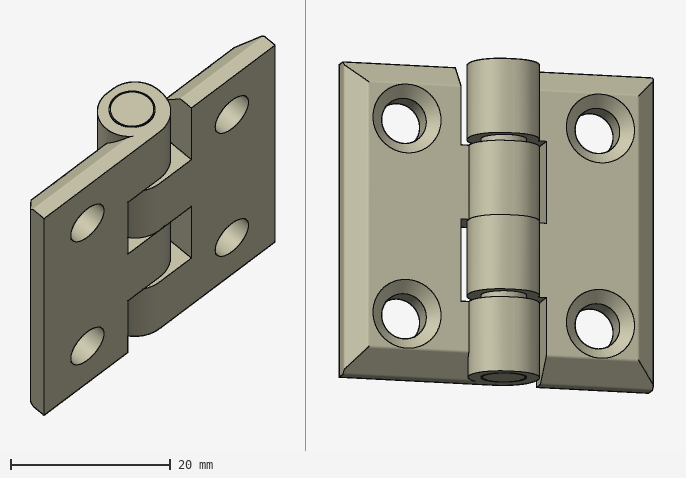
import cadquery as cq
import math

height = 40.0
width = 40.0
half_height = height / 2
half_width = width / 2

plate_thickness = 5.0
side_rim = plate_thickness / 2
end_rim = 2.0
bevel_rounding = 0.5

barrel_depth = 9.0
barrel_half = barrel_depth / 2
barrel_radius = barrel_depth - plate_thickness
knuckle_gap = 1.0
side_clearance = 1.0
knuckle_length = (half_height - knuckle_gap) / 2
notch_edge = barrel_half + side_clearance

pin_diameter = 5.75
pin_chamfer = 0.15
pin_x = -plate_thickness

hole_spacing = 25.0
hole_diameter = 5.75
countersink_diameter = 8.8
countersink_angle = 90.0


def make_plate():
    """Plate on the -Y side: one bevelled outer side crossed with two bevelled ends."""
    side_rise = plate_thickness - side_rim
    end_rise = plate_thickness - end_rim
    across = (
        cq.Workplane("XY")
        .polyline([
            (0, 0),
            (0, -half_width),
            (-side_rim, -half_width),
            (-plate_thickness, -half_width + side_rise),
            (-plate_thickness, 0),
        ])
        .close()
        .extrude(half_height, both=True)
        .edges("|Z and (not >X) and (not >Y)")
        .fillet(bevel_rounding)
    )
    along = (
        cq.Workplane("XZ")
        .polyline([
            (0, -half_height),
            (0, half_height),
            (-end_rim, half_height),
            (-plate_thickness, half_height - end_rise),
            (-plate_thickness, -half_height + end_rise),
            (-end_rim, -half_height),
        ])
        .close()
        .extrude(half_width)
        .edges("|Y and (not >X)")
        .fillet(bevel_rounding)
    )
    return across.intersect(along)


def make_knuckle(bottom):
    """One knuckle of the -Y leaf, with a larger radius at the back of its free +Y side."""
    flat_half = barrel_half - barrel_radius
    diagonal = math.sqrt(0.5)
    front_mid = barrel_radius * diagonal
    free_mid = barrel_half * diagonal
    return (
        cq.Workplane("XY", origin=(0, 0, bottom))
        .moveTo(0, 0)
        .threePointArc((-barrel_half + free_mid, free_mid), (-barrel_half, barrel_half))
        .lineTo(-plate_thickness, barrel_half)
        .threePointArc((-plate_thickness - front_mid, flat_half + front_mid), (-barrel_depth, flat_half))
        .lineTo(-barrel_depth, -flat_half)
        .threePointArc((-plate_thickness, -barrel_half), (-plate_thickness + barrel_radius, -flat_half))
        .lineTo(0, -flat_half)
        .close()
        .extrude(knuckle_length)
    )


def make_notch(bottom):
    """Clearance in the plate for a knuckle of the other leaf and the gap beside it."""
    return cq.Workplane("XY").box(
        plate_thickness, notch_edge, knuckle_length + knuckle_gap, centered=False
    ).translate((-plate_thickness, -notch_edge, bottom))


def make_screw_holes():
    """Drill and countersink shapes of the two screw holes in the -Y leaf."""
    hole_radius = hole_diameter / 2
    sink_radius = countersink_diameter / 2
    sink_depth = (sink_radius - hole_radius) / math.tan(math.radians(countersink_angle / 2))
    cutter = (
        cq.Workplane("XY")
        .polyline([
            (0, 0),
            (0, hole_radius),
            (sink_depth - plate_thickness, hole_radius),
            (-plate_thickness, sink_radius),
            (-plate_thickness, 0),
        ])
        .close()
        .revolve(360, (0, 0, 0), (1, 0, 0))
    )
    center = hole_spacing / 2
    return cutter.translate((0, -center, center)).union(cutter.translate((0, -center, -center)))


def make_leaf():
    """Leaf on the -Y side, with knuckles at the top and just below the middle."""
    leaf = make_plate()
    for notch_bottom in (0, -half_height):
        leaf = leaf.cut(make_notch(notch_bottom))
    for knuckle_bottom in (half_height - knuckle_length, -knuckle_length):
        leaf = leaf.union(make_knuckle(knuckle_bottom))
    bore = cq.Workplane("XY", origin=(pin_x, 0, 0)).circle(pin_diameter / 2)
    leaf = leaf.cut(bore.extrude(half_height, both=True))
    return leaf.cut(make_screw_holes())


def make_pin():
    """Full-height pin with chamfered ends."""
    return (
        cq.Workplane("XY", origin=(pin_x, 0, -half_height))
        .circle(pin_diameter / 2)
        .extrude(height)
        .faces("<Z or >Z")
        .chamfer(pin_chamfer)
    )


leaves = [make_leaf().rotate((0, 0, 0), (1, 0, 0), turn) for turn in (0, 180)]
pin = make_pin()

result = cq.Compound.makeCompound([*[leaf.val() for leaf in leaves], pin.val()])